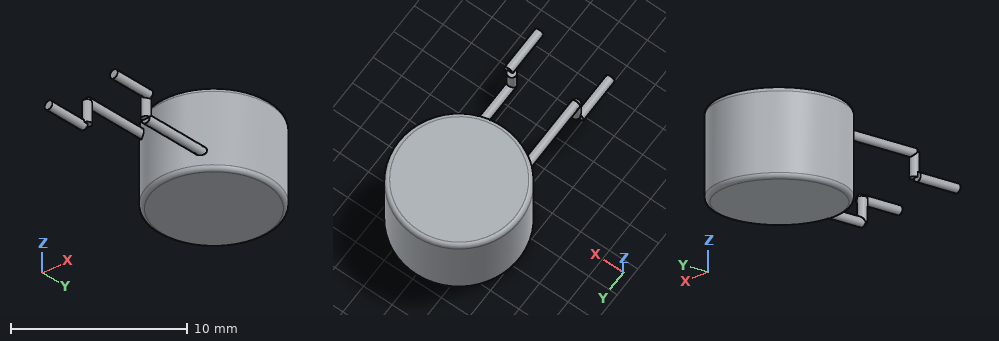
import cadquery as cq

body_diameter = 8.5
body_height = 5.5
edge_radius = 0.3

total_length = 15.5
wire_diameter = 0.6
lead_offset_x = 2.25
lead_offset_z = 1.5
tip_offset_x = 2.5
tip_length = 3.0
tip_end_y = body_diameter / 2 - total_length
bend_y = tip_end_y + tip_length


def wire(start, direction, length):
    """Straight round wire with flat ends."""
    return cq.Workplane(
        obj=cq.Solid.makeCylinder(wire_diameter / 2, length, cq.Vector(*start), cq.Vector(*direction))
    )


def lead(side):
    """Lead with a vertical step to mid height: side -1 steps down, side +1 steps up."""
    lead_x = side * lead_offset_x
    lead_z = -side * lead_offset_z
    run = wire((lead_x, 0, lead_z), (0, -1, 0), -bend_y)
    step = wire((lead_x, bend_y, lead_z), (0, 0, side), lead_offset_z)
    tip = wire((side * tip_offset_x, bend_y, 0), (0, -1, 0), tip_length)
    return run.union(step).union(tip)


body = (
    cq.Workplane("XY")
    .cylinder(body_height, body_diameter / 2)
    .edges("%CIRCLE")
    .fillet(edge_radius)
)

result = body
for side in (-1, 1):
    result = result.union(lead(side))